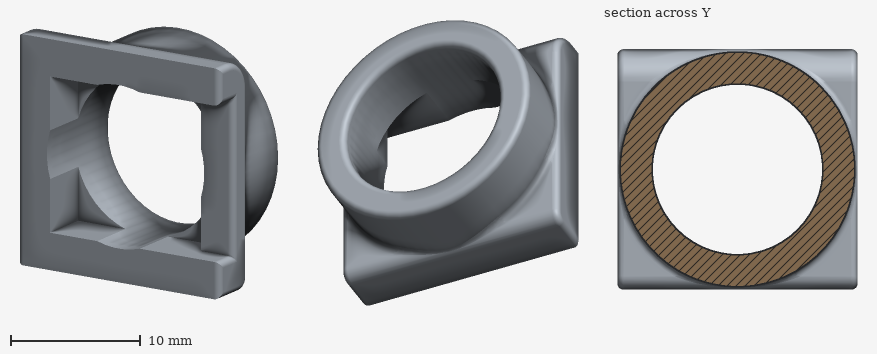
import cadquery as cq
import math

SIDE = 18.5
HALF = SIDE / 2
PLATE_DEPTH = 4.0
TOP_RADIUS = 2.5
BOTTOM_RADIUS = 1.0
EDGE_RADIUS = 0.5

COLLAR_DIAMETER = 18.1
BORE_DIAMETER = 13.1
TOTAL_DEPTH = 9.0
COLLAR_START = 2.4

POCKET_WIDTH = 12.5
NOTCH_DEPTH = PLATE_DEPTH / 2

TOLERANCE = 0.002


def box(x_min, x_max, depth, height):
    """Box from the front face to the given depth, centred on Z = 0."""
    return cq.Workplane("XY").box(
        x_max - x_min, depth, height, centered=(False, False, True)
    ).translate((x_min, 0, 0))


def cylinder(diameter, y_start, y_end):
    """Cylinder along +Y on the part's centre line."""
    plane = cq.Workplane("XZ", origin=(0, y_start, 0))
    return plane.circle(diameter / 2).extrude(y_start - y_end)


def make_plate():
    """Notched plate with rounded long back edges and softened left and right ends."""
    plate = box(-HALF, HALF, PLATE_DEPTH, SIDE)
    plate = plate.edges("|X and >Y and >Z").fillet(TOP_RADIUS)
    plate = plate.edges("|X and >Y and <Z").fillet(BOTTOM_RADIUS)
    plate = plate.cut(box(0, HALF, NOTCH_DEPTH, POCKET_WIDTH))
    return plate.faces("<X or >X").edges().fillet(EDGE_RADIUS)


def make_collar():
    """Collar rooted inside the plate, with both back rims rounded."""
    collar = cylinder(COLLAR_DIAMETER, COLLAR_START, TOTAL_DEPTH)
    collar = collar.cut(cylinder(BORE_DIAMETER, COLLAR_START, TOTAL_DEPTH))
    return collar.faces(">Y").edges().fillet(EDGE_RADIUS)


def is_root_seam(edge):
    """True for an edge on the collar's wall that lies on the plate's surface."""
    bounds = edge.BoundingBox()
    on_plate = COLLAR_START < bounds.center.y and bounds.ymax < PLATE_DEPTH + EDGE_RADIUS
    on_wall = all(
        abs(math.hypot(point.x, point.z) - COLLAR_DIAMETER / 2) < TOLERANCE
        for point in edge.positions([0, 0.5, 1])
    )
    return on_plate and on_wall


def blend_collar_root(body):
    """Fillet the seam where the collar leaves the back of the plate."""
    seam = [edge for edge in body.edges().vals() if is_root_seam(edge)]
    return body.newObject(seam).fillet(EDGE_RADIUS)


body = blend_collar_root(make_plate().union(make_collar()))
body = body.cut(box(-POCKET_WIDTH / 2, POCKET_WIDTH / 2, PLATE_DEPTH, POCKET_WIDTH))
result = body.cut(cylinder(BORE_DIAMETER, 0, TOTAL_DEPTH))